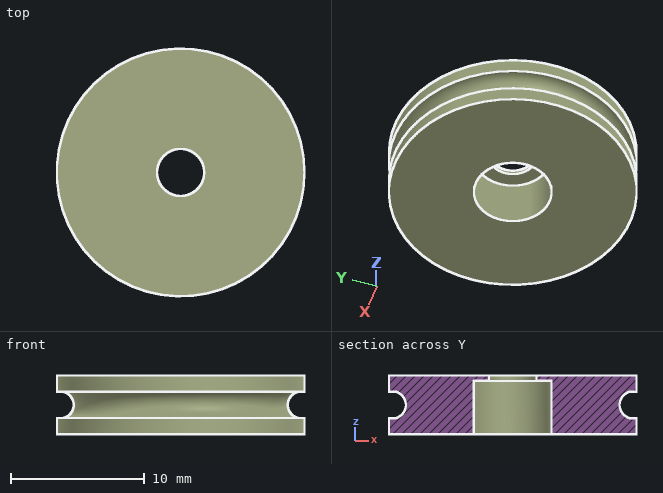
import cadquery as cq

wheel_diameter = 18.5
wheel_width = 4.4
groove_radius = 1.0
groove_center_radius = 9.0
hole_diameter = 3.5
pocket_diameter = 5.8
lip_thickness = 0.4

pocket_depth = wheel_width - lip_thickness


def make_wheel():
    """Plain disc centred on the Z axis and on the XY plane."""
    return cq.Workplane("XY").circle(wheel_diameter / 2).extrude(wheel_width / 2, both=True)


def make_groove():
    """Ring of round section that cuts the rim groove at mid width."""
    return cq.Workplane("XZ").center(groove_center_radius, 0).circle(groove_radius).revolve(
        360, (-groove_center_radius, 0), (-groove_center_radius, 1)
    )


def make_bore():
    """Through hole, widened into a pocket that opens on the lower face."""
    lower_face = cq.Workplane("XY").workplane(offset=-wheel_width / 2)
    hole = lower_face.circle(hole_diameter / 2).extrude(wheel_width)
    pocket = lower_face.circle(pocket_diameter / 2).extrude(pocket_depth)
    return hole.union(pocket)


result = make_wheel().cut(make_groove()).cut(make_bore())